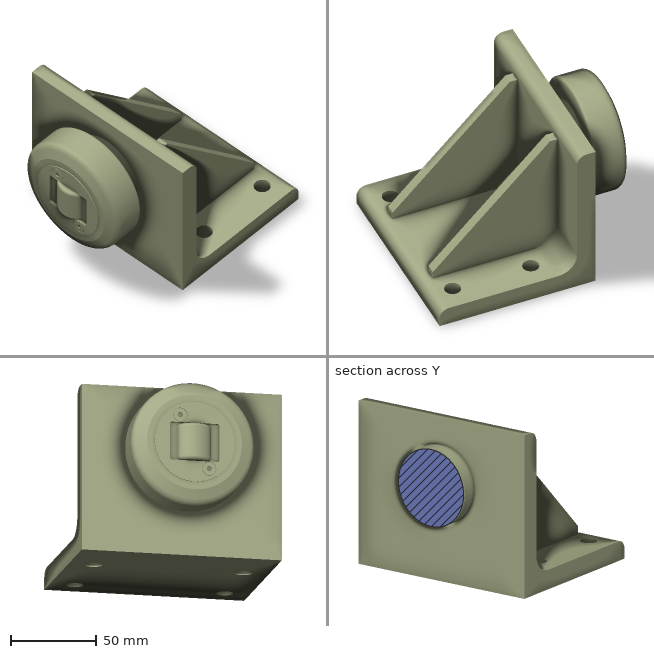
import cadquery as cq

bracket_width = 120.0
leg_length = 100.0
leg_thickness = 12.0
toe_radius = 6.0
inner_corner_radius = 12.0

hole_diameter = 10.0
hole_spacing_x = 89.9
hole_spacing_y = 50.0
hole_center_y = 60.0

rib_thickness = 6.3
rib_offset_x = 29.0
rib_reach = 92.0
rib_edge_height = 5.0
rib_corner_relief = 13.9

axis_height = 60.0
hub_diameter = 48.0
hub_radius = hub_diameter / 2
hub_front = 34.1
spacer_inset = 0.3
spacer_radius = hub_radius - spacer_inset
roller_radius = 36.8
roller_back = 10.6
roller_front = 33.5
spacer_length = 1.0
spacer_back = roller_back - spacer_length
roller_face_radius = 28.5
roller_cone_length = 3.5
roller_back_fillet = 1.9
roller_front_fillet = 4.1

pocket_width = 29.4
pocket_height = 22.8
pocket_depth = 1.6
pocket_corner_radius = 1.1
pin_radius = 12.4
pin_height = 22.0
pin_end_fillet = 1.9
overall_depth = 137.5
pin_front = overall_depth - leg_length

screw_x = 8.7
screw_z = 15.8
screw_head_diameter = 7.8
screw_recess_diameter = 8.5
screw_recess_depth = 0.5
socket_diameter = 3.3
socket_depth = 1.1


def extruded_across(profile, thickness, center_x):
    """Extrude a closed (y, z) outline along X, centred on center_x."""
    outline = cq.Workplane("YZ").polyline(profile).close()
    return outline.extrude(thickness / 2, both=True).translate((center_x, 0, 0))


def make_bracket():
    profile = [
        (0, 0),
        (leg_length, 0),
        (leg_length, leg_thickness),
        (leg_thickness, leg_thickness),
        (leg_thickness, leg_length),
        (0, leg_length),
    ]
    body = extruded_across(profile, bracket_width, 0)
    inner_corner = cq.selectors.NearestToPointSelector((0, leg_thickness, leg_thickness))
    body = body.edges(inner_corner).fillet(inner_corner_radius)
    for toe in ((0, leg_length, leg_thickness), (0, leg_thickness, leg_length)):
        body = body.edges(cq.selectors.NearestToPointSelector(toe)).fillet(toe_radius)
    holes = (
        cq.Workplane("XY")
        .center(0, hole_center_y)
        .rarray(hole_spacing_x, hole_spacing_y, 2, 2)
        .circle(hole_diameter / 2)
        .extrude(leg_thickness)
    )
    return body.cut(holes)


def make_rib(center_x):
    edge_end = leg_thickness + rib_edge_height
    relief_end = leg_thickness + rib_corner_relief
    profile = [
        (relief_end, leg_thickness),
        (rib_reach, leg_thickness),
        (rib_reach, edge_end),
        (edge_end, rib_reach),
        (leg_thickness, rib_reach),
        (leg_thickness, relief_end),
    ]
    return extruded_across(profile, rib_thickness, center_x)


def face_plane(distance):
    """Plane on the roller axis, facing forward, at a distance ahead of the bracket."""
    return cq.Workplane("XZ", origin=(0, -distance, axis_height))


def make_main_roller():
    cone_start = roller_front - roller_cone_length
    tire = (
        cq.Workplane("XY")
        .polyline([
            (0, -roller_back),
            (roller_radius, -roller_back),
            (roller_radius, -cone_start),
            (roller_face_radius, -roller_front),
            (0, -roller_front),
        ])
        .close()
        .revolve(360, (0, 0), (0, 1))
        .translate((0, 0, axis_height))
    )
    tire = tire.faces(">Y").edges().fillet(roller_back_fillet)
    rim_center = (0, -cone_start, axis_height)
    tire = tire.edges(cq.selectors.NearestToPointSelector(rim_center)).fillet(roller_front_fillet)
    neck = face_plane(0).circle(hub_radius).extrude(spacer_back)
    spacer = face_plane(spacer_back).circle(spacer_radius).extrude(spacer_length)
    hub = face_plane(roller_back).circle(hub_radius).extrude(hub_front - roller_back)
    return neck.union(spacer).union(tire).union(hub)


def make_pocket():
    return (
        face_plane(hub_front)
        .rect(pocket_width, pocket_height)
        .extrude(-pocket_depth)
        .edges("|Y")
        .fillet(pocket_corner_radius)
    )


def make_side_roller():
    return (
        cq.Workplane("XY", origin=(0, pin_radius - pin_front, axis_height))
        .circle(pin_radius)
        .extrude(pin_height / 2, both=True)
        .edges()
        .fillet(pin_end_fillet)
    )


def make_screw_recesses():
    """Ring gap around each screw head, plus its hexagon socket."""
    centers = [(-screw_x, screw_z), (screw_x, -screw_z)]
    rings = (
        face_plane(hub_front)
        .pushPoints(centers)
        .circle(screw_recess_diameter / 2)
        .circle(screw_head_diameter / 2)
        .extrude(-screw_recess_depth)
    )
    sockets = face_plane(hub_front).pushPoints(centers).polygon(6, socket_diameter).extrude(-socket_depth)
    return rings.union(sockets)


result = make_bracket()
for side in (-1, 1):
    result = result.union(make_rib(side * rib_offset_x))
result = result.union(make_main_roller())
result = result.cut(make_pocket()).cut(make_screw_recesses())
result = result.union(make_side_roller())